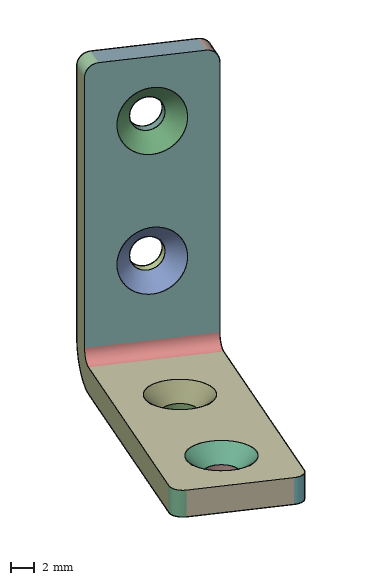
import cadquery as cq

leg_length = 30.15
width = 11.9
thickness = 2.5
inner_bend_radius = 1.25
outer_bend_radius = inner_bend_radius + thickness
corner_radius = 1.25

hole_diameter = 3.1
countersink_diameter = 6.2
countersink_angle = 90.0
end_to_hole = 6.0
hole_spacing = 13.0
hole_positions = [leg_length - end_to_hole, leg_length - end_to_hole - hole_spacing]


def bent_strip():
    """L-shaped strip with its outer corner at the XZ origin, centred on Y."""
    strip = (
        cq.Workplane("XZ")
        .polyline([
            (0, 0),
            (leg_length, 0),
            (leg_length, thickness),
            (thickness, thickness),
            (thickness, leg_length),
            (0, leg_length),
        ])
        .close()
        .extrude(width / 2, both=True)
    )
    inner_corner = cq.selectors.NearestToPointSelector((thickness, 0, thickness))
    outer_corner = cq.selectors.NearestToPointSelector((0, 0, 0))
    strip = strip.edges("|Y").edges(inner_corner).fillet(inner_bend_radius)
    return strip.edges("|Y").edges(outer_corner).fillet(outer_bend_radius)


def round_leg_ends(body):
    """Round the two free corners at the end of each leg."""
    body = body.faces(">X").edges("|Z").fillet(corner_radius)
    return body.faces(">Z").edges("|X").fillet(corner_radius)


def drill_countersunk(body, face_plane, points):
    """Drill through one leg, with the countersinks opening on its inner face."""
    return (
        body.copyWorkplane(cq.Workplane(face_plane))
        .pushPoints(points)
        .cskHole(hole_diameter, countersink_diameter, countersink_angle, depth=thickness)
    )


base_face = cq.Plane(origin=(0, 0, thickness), xDir=(1, 0, 0), normal=(0, 0, 1))
upright_face = cq.Plane(origin=(thickness, 0, 0), xDir=(0, 1, 0), normal=(1, 0, 0))

bracket = round_leg_ends(bent_strip())
bracket = drill_countersunk(bracket, base_face, [(x, 0) for x in hole_positions])
bracket = drill_countersunk(bracket, upright_face, [(0, z) for z in hole_positions])

result = bracket